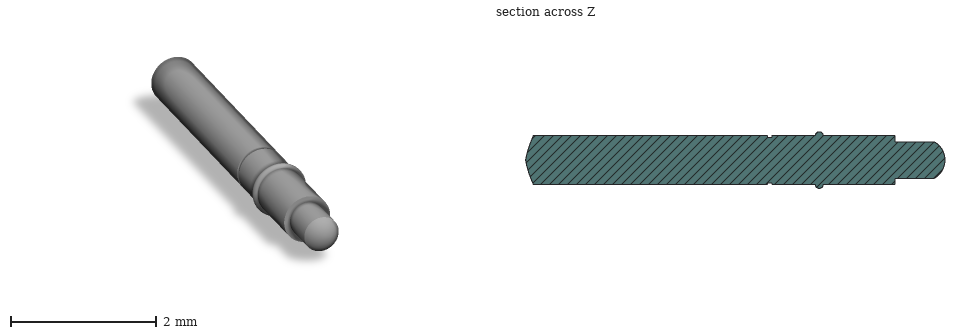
import cadquery as cq
import math

total_length = 5.79

barrel_radius = 0.34
barrel_end = 5.1
tail_height = 0.11
tail_bulge = 0.01

plunger_radius = 0.255
tip_dome_height = 0.15

groove_start = 3.34
groove_width = 0.06
groove_depth = 0.025

ring_center = 4.055
ring_width = 0.115
ring_outer_radius = 0.395


def dome_midpoint(apex, height, base_radius):
    """Point halfway along the profile arc of a spherical cap pointing along +X."""
    sphere_radius = (base_radius**2 + height**2) / (2 * height)
    half_angle = math.asin(base_radius / sphere_radius) / 2
    setback = sphere_radius * (1 - math.cos(half_angle))
    return (apex - setback, sphere_radius * math.sin(half_angle))


groove_end = groove_start + groove_width
groove_radius = barrel_radius - groove_depth
ring_start = ring_center - ring_width / 2
ring_end = ring_center + ring_width / 2
tip_dome_base = total_length - tip_dome_height
tail_midpoint = (tail_height / 2 - tail_bulge, barrel_radius / 2)
tip_midpoint = dome_midpoint(total_length, tip_dome_height, plunger_radius)

profile = (
    cq.Workplane("XY")
    .moveTo(0, 0)
    .threePointArc(tail_midpoint, (tail_height, barrel_radius))
    .lineTo(groove_start, barrel_radius)
    .lineTo(groove_start, groove_radius)
    .lineTo(groove_end, groove_radius)
    .lineTo(groove_end, barrel_radius)
    .lineTo(ring_start, barrel_radius)
    .threePointArc((ring_center, ring_outer_radius), (ring_end, barrel_radius))
    .lineTo(barrel_end, barrel_radius)
    .lineTo(barrel_end, plunger_radius)
    .lineTo(tip_dome_base, plunger_radius)
    .threePointArc(tip_midpoint, (total_length, 0))
    .close()
)

result = profile.revolve(360, (0, 0, 0), (1, 0, 0))